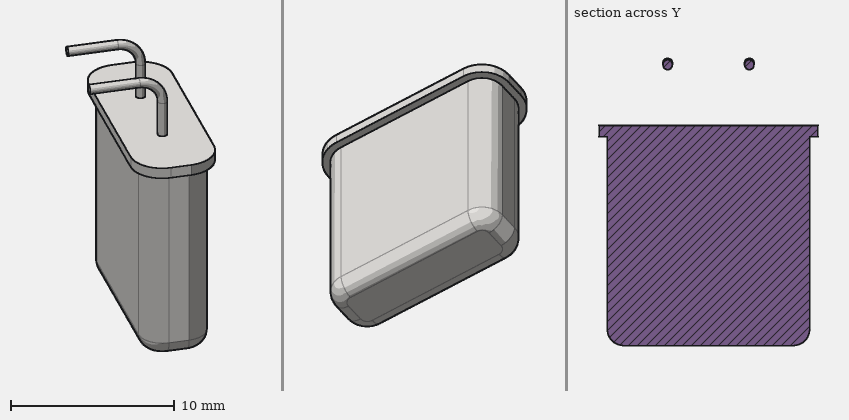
import cadquery as cq

total_height = 17.6
total_depth = 7.3

flange_length = 13.5
flange_width = 5.3
flange_thickness = 0.7
flange_corner_radius = 2.0

flange_top = 13.5
flange_overhang = 0.5
can_length = flange_length - 2 * flange_overhang
can_width = flange_width - 2 * flange_overhang
can_height = flange_top - flange_thickness
can_corner_radius = flange_corner_radius - flange_overhang
can_bottom_fillet = 1.0

lead_diameter = 0.6
lead_spacing = 5.0
lead_bend_radius = 1.5
lead_axis_top = total_height - lead_diameter / 2
lead_tip_y = flange_width / 2 - total_depth


def make_can():
    """Rounded block with a filleted bottom edge, standing on Z = 0."""
    can = cq.Workplane("XY").rect(can_length, can_width).extrude(can_height)
    can = can.edges("|Z").fillet(can_corner_radius)
    return can.faces("<Z").edges().fillet(can_bottom_fillet)


def make_flange():
    """Rounded plate that closes the top of the can."""
    flange = cq.Workplane("XY").workplane(offset=can_height)
    flange = flange.rect(flange_length, flange_width).extrude(flange_thickness)
    return flange.edges("|Z").fillet(flange_corner_radius)


def make_lead(x):
    """Round wire rising from the flange and bending toward -Y."""
    path = (
        cq.Workplane("YZ", origin=(x, 0, 0))
        .moveTo(0, flange_top)
        .lineTo(0, lead_axis_top - lead_bend_radius)
        .tangentArcPoint((-lead_bend_radius, lead_axis_top), relative=False)
        .lineTo(lead_tip_y, lead_axis_top)
    )
    section = cq.Workplane("XY", origin=(x, 0, flange_top)).circle(lead_diameter / 2)
    return section.sweep(path)


result = make_can().union(make_flange())
for side in (-1, 1):
    result = result.union(make_lead(side * lead_spacing / 2))